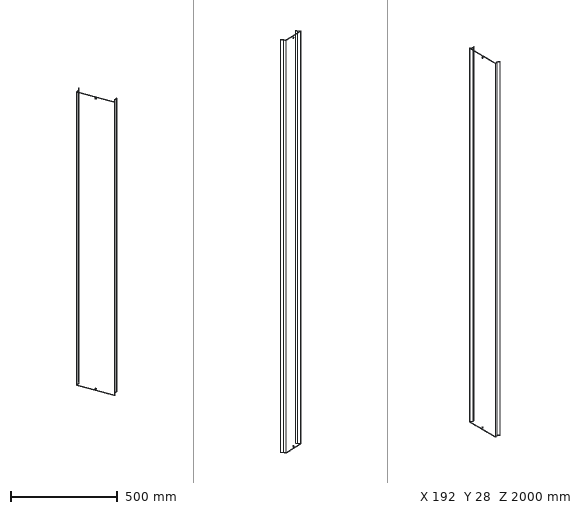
import cadquery as cq

width = 192.0
depth = 28.0
length = 2000.0

thickness = 1.2
kink_inset = 5.0
kink_height = 15.0

hole_diameter = 5.0
hole_end_distance = 10.0

half_width = width / 2
front_y = -depth / 2
back_y = depth / 2
waist_y = front_y + kink_height


def cover_section():
    """Flat front web with two lips that lean in to a waist and flare out again."""
    right_outer = [
        (half_width, front_y),
        (half_width - kink_inset, waist_y),
        (half_width, back_y),
    ]
    right_inner = [
        (half_width - thickness, back_y),
        (half_width - kink_inset - thickness, waist_y),
        (half_width - thickness, front_y + thickness),
    ]
    right_side = right_outer + right_inner
    left_side = [(-x, y) for x, y in reversed(right_side)]
    return right_side + left_side


def fixing_hole(z):
    """Cutter through the front web only, centred on the width."""
    return (
        cq.Workplane("XZ", origin=(0, front_y, z))
        .circle(hole_diameter / 2)
        .extrude(-depth)
    )


result = (
    cq.Workplane("XY", origin=(0, 0, -length / 2))
    .polyline(cover_section())
    .close()
    .extrude(length)
)

hole_z = length / 2 - hole_end_distance
for z in (-hole_z, hole_z):
    result = result.cut(fixing_hole(z))